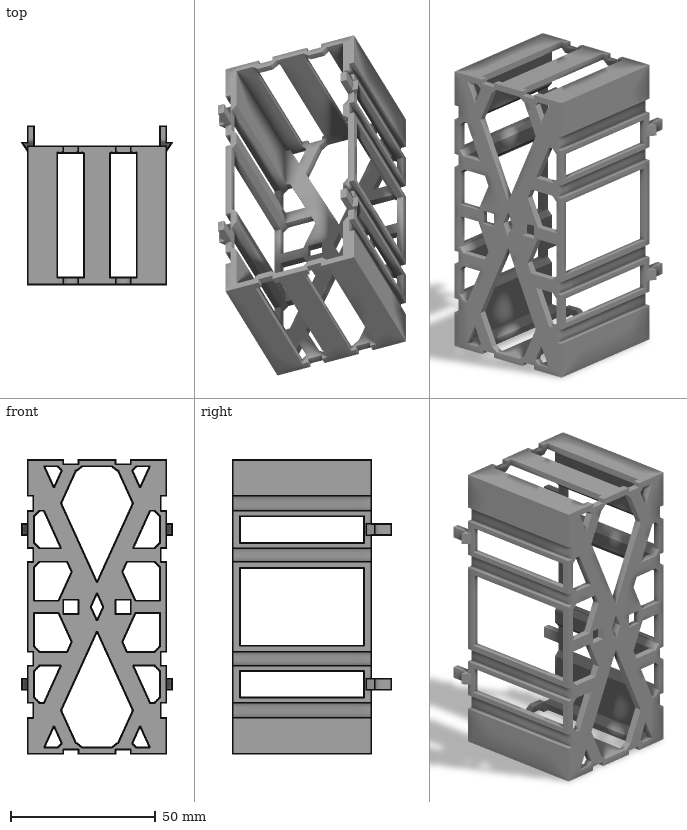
import cadquery as cq

height = 102.0
width = 48.0
depth = 48.0
wall = 2.2
plate = 2.5
rim = 2.5
half_width = width / 2
half_height = height / 2
inner_x = half_width - wall
inner_z = half_height - wall

groove_depth = 1.8
groove_low = (15.6, 20.4)
groove_high = (33.3, 38.5)
grooves = (groove_low, groove_high)

notch_depth = 1.5
notch_inside = 6.4
notch_outside = 11.6
notch_back_inside = 5.1
notch_back_outside = 13.7
notch_rib_inside = 7.0
notch_rib_outside = 12.1

low_window_half = 13.5
high_window = (groove_low[1] + groove_depth, groove_high[0] - groove_depth)
slot = (4.6, 13.8)
top_slot_back_rim = 2.2

slope = 2.2
diamond_tip = 4.7
large_low_tip = 8.6
large_high_tip = 63.2
outer_bar_edge = -7.2
middle_bar_edge = 31.5
corner_bar_edge = 74.3
middle_bar_half = 2.1

arm_length = 6.9
arm_height = 4.0
arm_z = 26.8
barb_span = 52.0
barb_out = (barb_span - width) / 2
barb_length = 3.0
barb_back = 1.2

SIGNS = (1, -1)


def block(x_range, y_range, z_range):
    """Box between two limits on each axis, given in any order."""
    low = [min(r) for r in (x_range, y_range, z_range)]
    size = [max(r) - min(r) for r in (x_range, y_range, z_range)]
    return cq.Workplane("XY").box(*size, centered=False).translate(tuple(low))


def prism(points, sign_x=1, sign_z=1):
    """Outline in (x, z), mirrored by the signs, run through the full depth."""
    outline = [(sign_x * x, sign_z * z) for x, z in points]
    return cq.Workplane("XZ").polyline(outline).close().extrude(-depth)


def rising(z, tip):
    """Distance from x = 0 of a bar edge that spreads outward going up."""
    return (z - tip) / slope


def falling(z, tip):
    """Distance from x = 0 of a bar edge that closes inward going up."""
    return (tip - z) / slope


def meet(rising_tip, falling_tip):
    """Point where a rising and a falling bar edge cross."""
    z = (rising_tip + falling_tip) / 2
    return (rising(z, rising_tip), z)


def make_cavity():
    """Inside of the walls, less the ribs behind the grooves and notches.

    The side walls stay thick from the high grooves out to the end walls.
    """
    cavity = block((-inner_x, inner_x), (0, depth), (-inner_z, inner_z))
    rib_x = inner_x - groove_depth
    rib_z = inner_z - notch_depth
    notch_rib = [
        (notch_back_inside, inner_z),
        (notch_rib_inside, rib_z),
        (notch_rib_outside, rib_z),
        (notch_back_outside, inner_z),
    ]
    for sx in SIGNS:
        for sz in SIGNS:
            cavity = cavity.cut(prism(notch_rib, sx, sz))
            low_groove_rib = [
                (inner_x, groove_low[0] - groove_depth),
                (rib_x, groove_low[0]),
                (rib_x, groove_low[1]),
                (inner_x, groove_low[1] + groove_depth),
            ]
            thick_end = [
                (inner_x, groove_high[0] - groove_depth),
                (rib_x, groove_high[0]),
                (rib_x, inner_z),
                (inner_x, inner_z),
            ]
            for outline in (low_groove_rib, thick_end):
                cavity = cavity.cut(prism(outline, sx, sz))
    return cavity


def make_lattice_openings():
    """Openings of the front plate, before trimming by the walls and ribs."""
    large_top = falling(inner_z, large_high_tip)
    side, peak = meet(large_low_tip, large_high_tip)
    large = [
        (0, large_low_tip),
        (side, peak),
        (large_top, inner_z),
        (-large_top, inner_z),
        (-side, peak),
    ]
    corner = [
        meet(large_low_tip, corner_bar_edge),
        (rising(inner_z, large_low_tip), inner_z),
        (falling(inner_z, corner_bar_edge), inner_z),
    ]
    side_low = groove_low[1]
    side_high = groove_high[0]
    side_opening = [
        (rising(side_low, outer_bar_edge), side_low),
        (inner_x, side_low),
        (inner_x, side_high),
        (rising(side_high, outer_bar_edge), side_high),
    ]
    middle_opening = [
        (falling(middle_bar_half, middle_bar_edge), middle_bar_half),
        (inner_x, middle_bar_half),
        (inner_x, groove_low[0]),
        (rising(groove_low[0], outer_bar_edge), groove_low[0]),
        meet(outer_bar_edge, middle_bar_edge),
    ]
    diamond_side = diamond_tip / slope
    diamond = [(diamond_side, 0), (0, diamond_tip), (-diamond_side, 0), (0, -diamond_tip)]
    openings = prism(diamond)
    square_half = (groove_low[1] - groove_low[0]) / 2
    for sx in SIGNS:
        square_x = (sx * notch_inside, sx * notch_outside)
        openings = openings.union(block(square_x, (0, depth), (-square_half, square_half)))
        for sz in SIGNS:
            for outline in (corner, side_opening, middle_opening):
                openings = openings.union(prism(outline, sx, sz))
    for sz in SIGNS:
        openings = openings.union(prism(large, sign_z=sz))
    return openings


def cut_grooves_and_notches(body):
    for sx in SIGNS:
        for sz in SIGNS:
            for low, high in grooves:
                groove_x = (sx * (half_width - groove_depth), sx * half_width)
                body = body.cut(block(groove_x, (0, depth), (sz * low, sz * high)))
            notch_x = (sx * notch_inside, sx * notch_outside)
            notch_z = (sz * (half_height - notch_depth), sz * half_height)
            body = body.cut(block(notch_x, (0, depth), notch_z))
    return body


def cut_windows_and_slots(body):
    window_x = (-half_width, half_width)
    window_y = (rim, depth - rim)
    body = body.cut(block(window_x, window_y, (-low_window_half, low_window_half)))
    for sign in SIGNS:
        slot_x = [sign * x for x in slot]
        body = body.cut(block(window_x, window_y, [sign * z for z in high_window]))
        body = body.cut(block(slot_x, (rim, depth - top_slot_back_rim), (0, half_height)))
        body = body.cut(block(slot_x, window_y, (-half_height, 0)))
    return body


def make_snap_arm(sign_x, z):
    """Arm carrying on from the side wall, with an outward barb."""
    back = depth + arm_length
    barb_y = depth + barb_back
    outline = [
        (half_width - wall, depth - rim),
        (half_width - wall, back),
        (half_width, back),
        (half_width, barb_y),
        (half_width + barb_out, barb_y),
        (half_width, barb_y - barb_length),
        (half_width, depth - rim),
    ]
    arm = cq.Workplane("XY").polyline([(sign_x * x, y) for x, y in outline]).close().extrude(arm_height)
    return arm.translate((0, 0, z - arm_height / 2))


cavity = make_cavity()
body = block((-half_width, half_width), (0, depth), (-half_height, half_height))
body = body.cut(cavity.intersect(block((-width, width), (plate, depth), (-height, height))))
body = body.cut(make_lattice_openings().intersect(cavity))
body = cut_grooves_and_notches(body)
body = cut_windows_and_slots(body)
for sign_x in SIGNS:
    for sign_z in SIGNS:
        body = body.union(make_snap_arm(sign_x, sign_z * arm_z))

result = body